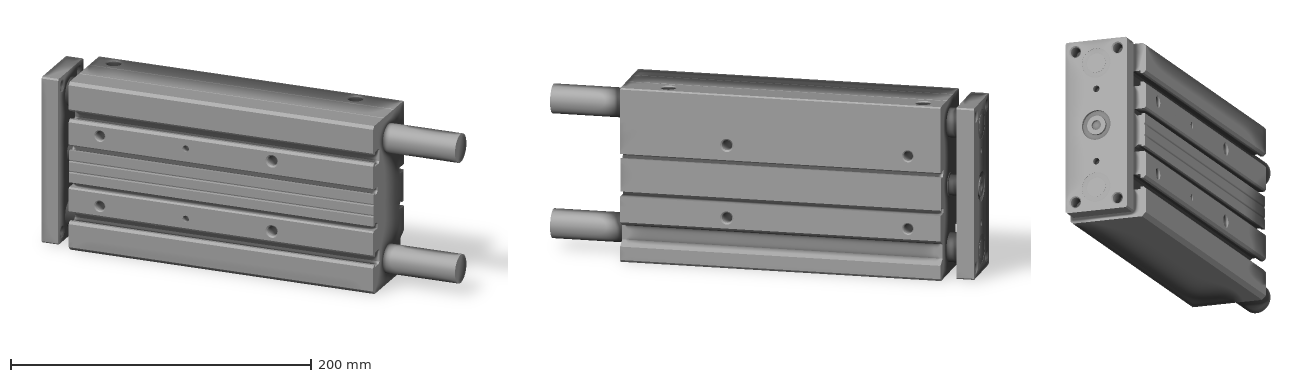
import cadquery as cq
import math

overall_length = 293.0

plate_thickness = 12.0
plate_width = 44.0
plate_height = 118.0
plate_chamfer = 1.0

housing_start = 21.6
housing_length = 219.4
housing_width = 54.0
housing_height = 120.0
front_y = -housing_width / 2
back_y = housing_width / 2
half_height = housing_height / 2
housing_end = housing_start + housing_length

rod_spacing = 86.0
guide_diameter = 20.0
piston_diameter = 14.0
rear_wall_thickness = 20.0
piston_end_x = housing_end - rear_wall_thickness
neck_diameter = 13.0
piston_socket_diameter = 6.6
piston_socket_depth = 2.0

recess_diameter = 20.4
guide_recess_depth = 0.2
piston_recess_depth = 2.0

collar_diameter = 17.0
collar_height = 0.6

plate_hole_diameter = 6.8
plate_hole_mouth = 8.4
plate_hole_pitch_y = 30.0
plate_hole_pitch_z = 104.0

dowel_diameter = 4.5
dowel_depth = 6.0
dowel_tip_angle = 118.0
cross_pitch_z = 50.0

mount_x = (44.0, 168.0)
mount_bore = (6.6, 7.0)
mount_mouth = (8.2, 9.0)
dowel_x = sum(mount_x) / 2

port_x = (35.6, 209.9)
port_y = 18.0
port_mouth_diameter = 11.0
port_diameter = 9.6
port_depth = 10.0
port_pilot_diameter = 3.4
port_pilot_depth = 4.0

front_top_chamfer = 2.0
front_bottom_chamfer = 2.7
back_top_chamfer = 0.9
back_bottom_chamfer = 1.7

t_slot_centre_z = 36.3
t_slot_opening = 6.0
t_slot_lip = 3.7
t_slot_depth = 11.0
t_slot_floor_chamfer = 1.3
t_slot_outer_z = 41.0
t_slot_inner_z = 30.6
t_slot_mouth_chamfer = 1.6

land_setback = 0.7
sensor_slot_outer_z = 14.8
sensor_slot_inner_z = 11.3
sensor_slot_undercut_z = 10.2
sensor_slot_lip = 3.0
sensor_slot_depth = 8.0
sensor_slot_floor_chamfer = 1.8
sensor_slot_mouth_chamfer = 1.0

channel_z = -40.7
channel_mouth = 16.8
channel_depth = 6.0
channel_side_angle = 30.0

top_groove_y = (8.8, -8.7)
top_groove_width = 0.9
front_groove_z = (-3.9, 3.9)
front_groove_width = 1.8
v_groove_depth = 0.4


def rod_along_x(diameter, start, end, z=0.0):
    return cq.Workplane("YZ", origin=(start, 0, z)).circle(diameter / 2).extrude(end - start)


def prism_along_housing(points):
    """A (y, z) outline run along the whole length of the housing."""
    return cq.Workplane("YZ", origin=(housing_start, 0, 0)).polyline(points).close().extrude(housing_length)


def pointed_hole(diameter, depth, tip_angle, entry, direction):
    """A drill shape: a straight bore with a conical bottom."""
    radius = diameter / 2
    tip_length = radius / math.tan(math.radians(tip_angle / 2))
    axis = cq.Vector(*direction)
    start = cq.Vector(*entry)
    bore = cq.Solid.makeCylinder(radius, depth, start, axis)
    tip = cq.Solid.makeCone(radius, 0, tip_length, start + axis * depth, axis)
    return bore.fuse(tip)


def mouth_chamfered_hole(bore_diameter, mouth_diameter, length, entry, direction):
    """A through bore with a 45 degree chamfer at both ends."""
    axis = cq.Vector(*direction)
    start = cq.Vector(*entry)
    end = start + axis * length
    bore_radius = bore_diameter / 2
    mouth_radius = mouth_diameter / 2
    chamfer = mouth_radius - bore_radius
    bore = cq.Solid.makeCylinder(bore_radius, length, start, axis)
    entry_cone = cq.Solid.makeCone(mouth_radius, bore_radius, chamfer, start, axis)
    exit_cone = cq.Solid.makeCone(mouth_radius, bore_radius, chamfer, end, -axis)
    return bore.fuse(entry_cone, exit_cone)


guide_z = (-rod_spacing / 2, rod_spacing / 2)
cross_z = (-cross_pitch_z / 2, cross_pitch_z / 2)


def make_guide_rod(z):
    shaft = rod_along_x(guide_diameter, plate_thickness, overall_length, z)
    return shaft.union(rod_along_x(neck_diameter, 0, plate_thickness, z))


def make_piston_rod():
    rod = rod_along_x(piston_diameter, plate_thickness, piston_end_x)
    rod = rod.union(rod_along_x(neck_diameter, 0, plate_thickness))
    return rod.cut(rod_along_x(piston_socket_diameter, 0, piston_socket_depth))


def make_tool_plate():
    plate = cq.Workplane("XY").box(plate_thickness, plate_width, plate_height)
    plate = plate.translate((plate_thickness / 2, 0, 0)).edges("|X").chamfer(plate_chamfer)
    for z, recess_depth in ((guide_z[0], guide_recess_depth), (0, piston_recess_depth),
                            (guide_z[1], guide_recess_depth)):
        plate = plate.cut(rod_along_x(neck_diameter, 0, plate_thickness, z))
        plate = plate.cut(rod_along_x(recess_diameter, 0, recess_depth, z))
    for side_y in (-1, 1):
        for side_z in (-1, 1):
            entry = (0, side_y * plate_hole_pitch_y / 2, side_z * plate_hole_pitch_z / 2)
            plate = plate.cut(cq.Workplane(mouth_chamfered_hole(
                plate_hole_diameter, plate_hole_mouth, plate_thickness, entry, (1, 0, 0))))
    for z in cross_z:
        plate = plate.cut(cq.Workplane(pointed_hole(
            dowel_diameter, dowel_depth, dowel_tip_angle, (0, 0, z), (1, 0, 0))))
    return plate


def make_extrusion():
    return prism_along_housing([
        (front_y, half_height - front_top_chamfer),
        (front_y + front_top_chamfer, half_height),
        (back_y - back_top_chamfer, half_height),
        (back_y, half_height - back_top_chamfer),
        (back_y, -half_height + back_bottom_chamfer),
        (back_y - back_bottom_chamfer, -half_height),
        (front_y + front_bottom_chamfer, -half_height),
        (front_y, -half_height + front_bottom_chamfer),
    ])


def make_t_slot(side):
    """T-slot in the front face; side is +1 for the upper slot and -1 for the lower one."""
    outer_mouth = t_slot_centre_z + t_slot_opening / 2
    inner_mouth = t_slot_centre_z - t_slot_opening / 2
    outline = [
        (front_y, outer_mouth + t_slot_mouth_chamfer),
        (front_y + t_slot_mouth_chamfer, outer_mouth),
        (front_y + t_slot_lip, outer_mouth),
        (front_y + t_slot_lip, t_slot_outer_z),
        (front_y + t_slot_depth - t_slot_floor_chamfer, t_slot_outer_z),
        (front_y + t_slot_depth, t_slot_outer_z - t_slot_floor_chamfer),
        (front_y + t_slot_depth, t_slot_inner_z + t_slot_floor_chamfer),
        (front_y + t_slot_depth - t_slot_floor_chamfer, t_slot_inner_z),
        (front_y + t_slot_lip, t_slot_inner_z),
        (front_y + t_slot_lip, inner_mouth),
        (front_y + t_slot_mouth_chamfer, inner_mouth),
        (front_y, inner_mouth - t_slot_mouth_chamfer),
    ]
    return prism_along_housing([(y, side * z) for y, z in outline])


def make_sensor_slot(face, side, chamfer):
    """Undercut slot beside the central land; face and side give the signs of Y and Z."""
    mouth = [(back_y, sensor_slot_outer_z + chamfer)]
    if chamfer > 0:
        mouth.append((back_y - chamfer, sensor_slot_outer_z))
    outline = mouth + [
        (back_y - sensor_slot_depth, sensor_slot_outer_z),
        (back_y - sensor_slot_depth, sensor_slot_undercut_z + sensor_slot_floor_chamfer),
        (back_y - sensor_slot_depth + sensor_slot_floor_chamfer, sensor_slot_undercut_z),
        (back_y - sensor_slot_lip, sensor_slot_undercut_z),
        (back_y - sensor_slot_lip, sensor_slot_inner_z),
        (back_y - land_setback, sensor_slot_inner_z),
        (back_y - land_setback, 0),
        (back_y, 0),
    ]
    return prism_along_housing([(face * y, side * z) for y, z in outline])


def make_channel():
    half_mouth = channel_mouth / 2
    half_floor = half_mouth - channel_depth * math.tan(math.radians(channel_side_angle))
    return prism_along_housing([
        (back_y, channel_z + half_mouth),
        (back_y - channel_depth, channel_z + half_floor),
        (back_y - channel_depth, channel_z - half_floor),
        (back_y, channel_z - half_mouth),
    ])


def make_top_groove(y):
    half_width = top_groove_width / 2
    return prism_along_housing([
        (y - half_width, half_height), (y, half_height - v_groove_depth), (y + half_width, half_height)])


def make_front_groove(z):
    half_width = front_groove_width / 2
    land_y = front_y + land_setback
    return prism_along_housing([
        (land_y, z - half_width), (land_y + v_groove_depth, z), (land_y, z + half_width)])


def make_port(x):
    """Bore with a chamfered mouth and a conical bottom that narrows to a pilot hole."""
    mouth_radius = port_mouth_diameter / 2
    radius = port_diameter / 2
    pilot_radius = port_pilot_diameter / 2
    cone_length = radius - pilot_radius
    down = cq.Vector(0, 0, -1)
    top = cq.Vector(x, port_y, half_height)
    mouth = cq.Solid.makeCone(mouth_radius, radius, mouth_radius - radius, top, down)
    bore = cq.Solid.makeCylinder(radius, port_depth, top, down)
    cone = cq.Solid.makeCone(radius, pilot_radius, cone_length, top + down * port_depth, down)
    pilot = cq.Solid.makeCylinder(
        pilot_radius, port_pilot_depth, top + down * (port_depth + cone_length), down)
    return bore.fuse(mouth, cone, pilot)


def make_housing():
    body = make_extrusion()
    for side in (-1, 1):
        body = body.cut(make_t_slot(side))
        body = body.cut(make_sensor_slot(-1, side, sensor_slot_mouth_chamfer))
        body = body.cut(make_sensor_slot(1, side, 0))
    body = body.cut(make_channel())
    for y in top_groove_y:
        body = body.cut(make_top_groove(y))
    for z in front_groove_z:
        body = body.cut(make_front_groove(z))

    for z in cross_z:
        for x, bore, mouth in zip(mount_x, mount_bore, mount_mouth):
            body = body.cut(cq.Workplane(mouth_chamfered_hole(
                bore, mouth, housing_width, (x, front_y, z), (0, 1, 0))))
        body = body.cut(cq.Workplane(pointed_hole(
            dowel_diameter, dowel_depth, dowel_tip_angle, (dowel_x, front_y, z), (0, 1, 0))))
    for x in port_x:
        body = body.cut(cq.Workplane(make_port(x)))

    body = body.union(rod_along_x(collar_diameter, housing_start - collar_height, housing_start))
    body = body.cut(rod_along_x(piston_diameter, housing_start - collar_height, piston_end_x))
    for z in guide_z:
        body = body.cut(rod_along_x(guide_diameter, housing_start, housing_end, z))
    return body


housing = make_housing()
tool_plate = make_tool_plate()
piston_rod = make_piston_rod()
guide_rods = [make_guide_rod(z) for z in guide_z]

result = cq.Compound.makeCompound(
    [housing.val(), tool_plate.val(), piston_rod.val(), *[rod.val() for rod in guide_rods]])